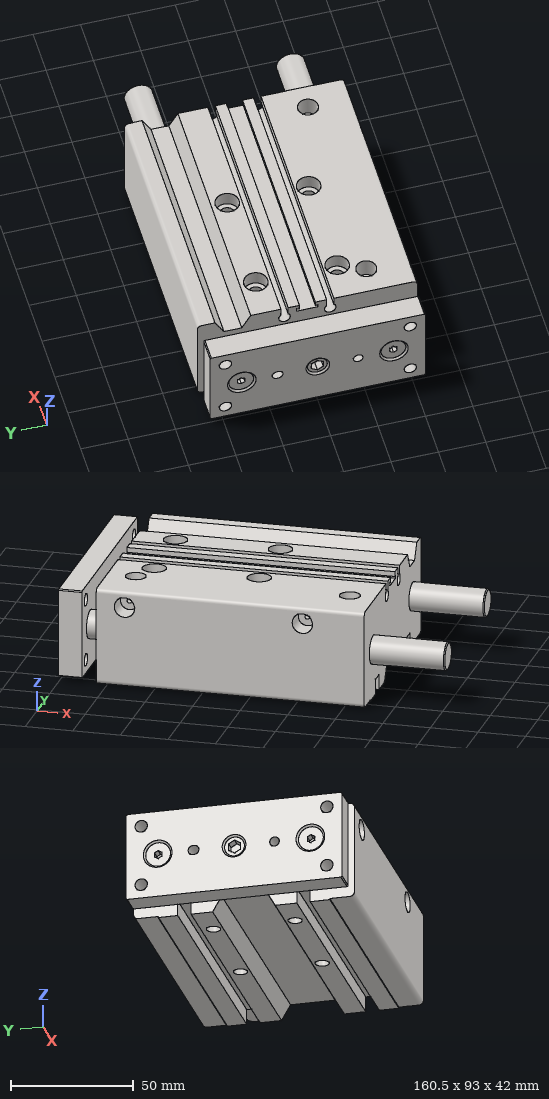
import cadquery as cq
import math


TOTAL_LENGTH = 160.5

HOUSING_START = 16.2
HOUSING_LENGTH = 112.7
HOUSING_WIDTH = 93.0
HOUSING_HEIGHT = 42.0
HOUSING_TOP = HOUSING_HEIGHT / 2
HOUSING_BOTTOM = -HOUSING_HEIGHT / 2
CORNER_RADIUS = 2.0

FLANK_ANGLE = 60
CHANNEL_DEPTH = 6.6
TOP_CHANNEL_Y = 31.5
TOP_CHANNEL_WIDTH = 15.1
BOTTOM_CHANNEL_WIDTH = 26.3
BOTTOM_SLOT_Y = 25.0
BOTTOM_SLOT_WIDTH = 5.6
RAIL_GAP = 6.7
RAIL_LIP_HEIGHT = 2.1
RAIL_RECESS_WIDTH = 9.0
RAIL_RECESS_DEPTH = 3.2
SENSOR_SLOT_Y = 9.6
SENSOR_SLOT_WIDTH = 3.0
SENSOR_BORE_DIAMETER = 4.8
SENSOR_BORE_DEPTH = 5.6
FOOT_HEIGHT = 0.5
FOOT_OUTER_Y = 36.1

MOUNT_X = (33.0, 77.2)
MOUNT_Y = 17.2
MOUNT_DIAMETER = 5.8
MOUNT_HEAD_DIAMETER = 10.0
MOUNT_HEAD_DEPTH = 6.5

PORT_MOUTH_DIAMETER = 8.5
PORT_END_DIAMETER = 7.5
PORT_DEPTH = 8.0
PORT_PILOT_DIAMETER = 2.0
PORT_PILOT_DEPTH = 11.2
FIRST_PORT_X = 28.1
LAST_TOP_PORT_X = 118.1
LAST_FRONT_PORT_X = 102.9
TOP_PORT_Y = -28.1
FRONT_PORT_Z = 14.0

PLATE_THICKNESS = 10.0
PLATE_WIDTH = 90.8
PLATE_HEIGHT = 37.9
PLATE_EDGE_CHAMFER = 0.5
PLATE_HOLE_DIAMETER = 5.1
PLATE_HOLE_Y = 39.0
PLATE_HOLE_Z = 13.0
DOWEL_DIAMETER = 4.0
DOWEL_SLOT_LENGTH = 4.5
DOWEL_Y = 17.0

ROD_DIAMETER = 12.0
GUIDE_ROD_Y = 32.1
ROD_REAR_CHAMFER = 0.5
PISTON_ROD_END = 96.3

RECESS_DEPTH = 0.8
GUIDE_RECESS_DIAMETER = 12.0
GUIDE_SOCKET_FLATS = 3.0
PISTON_RECESS_DIAMETER = 10.0
PISTON_SOCKET_FLATS = 5.0
SOCKET_DEPTH = 4.8


def cylinder(diameter, start, length, direction):
    """Cylinder of the given length from the point start along direction."""
    return cq.Workplane(cq.Solid.makeCylinder(diameter / 2, length, cq.Vector(*start), cq.Vector(*direction)))


def rod_cylinder(diameter, y, start_x, end_x):
    return cylinder(diameter, (start_x, y, 0), end_x - start_x, (1, 0, 0))


def housing_prism(outline):
    """Extrude a closed (Y, Z) outline along the whole housing."""
    return cq.Workplane("YZ", origin=(HOUSING_START, 0, 0)).polyline(outline).close().extrude(HOUSING_LENGTH)


def straight_channel(y, width, mouth_z, floor_z):
    left = y - width / 2
    right = y + width / 2
    return housing_prism([(left, mouth_z), (right, mouth_z), (right, floor_z), (left, floor_z)])


def sloped_channel(y, mouth_width, mouth_z, floor_z):
    """Channel whose sides lean inwards from the mouth to the floor."""
    inset = abs(mouth_z - floor_z) / math.tan(math.radians(FLANK_ANGLE))
    half_mouth = mouth_width / 2
    half_floor = half_mouth - inset
    return housing_prism([
        (y - half_mouth, mouth_z),
        (y + half_mouth, mouth_z),
        (y + half_floor, floor_z),
        (y - half_floor, floor_z),
    ])


def rail_recess():
    """T-shaped recess between the two rails, wider below their lips."""
    lip_bottom = HOUSING_TOP - RAIL_LIP_HEIGHT
    gap = straight_channel(0, RAIL_GAP, HOUSING_TOP, lip_bottom)
    return gap.union(straight_channel(0, RAIL_RECESS_WIDTH, lip_bottom, HOUSING_TOP - RAIL_RECESS_DEPTH))


def sensor_slot(y):
    """Keyhole slot: a narrow mouth above a round bore."""
    bore_z = HOUSING_TOP - SENSOR_BORE_DEPTH
    bore = cylinder(SENSOR_BORE_DIAMETER, (HOUSING_START, y, bore_z), HOUSING_LENGTH, (1, 0, 0))
    return bore.union(straight_channel(y, SENSOR_SLOT_WIDTH, HOUSING_TOP, bore_z))


def port(mouth, direction):
    """Tapered port with a small pilot hole at its end."""
    taper = cq.Workplane(cq.Solid.makeCone(
        PORT_MOUTH_DIAMETER / 2, PORT_END_DIAMETER / 2, PORT_DEPTH, cq.Vector(*mouth), cq.Vector(*direction)
    ))
    return taper.union(cylinder(PORT_PILOT_DIAMETER, mouth, PORT_PILOT_DEPTH, direction))


def mounting_hole(x, y):
    down = (0, 0, -1)
    through = cylinder(MOUNT_DIAMETER, (x, y, HOUSING_TOP), HOUSING_HEIGHT, down)
    return through.union(cylinder(MOUNT_HEAD_DIAMETER, (x, y, HOUSING_TOP), MOUNT_HEAD_DEPTH, down))


def make_housing():
    body_bottom = HOUSING_BOTTOM + FOOT_HEIGHT
    body = (
        cq.Workplane("XY", origin=(HOUSING_START, 0, body_bottom))
        .box(HOUSING_LENGTH, HOUSING_WIDTH, HOUSING_TOP - body_bottom, centered=(False, True, False))
        .edges("|X").fillet(CORNER_RADIUS)
    )
    body = body.union(straight_channel(0, 2 * FOOT_OUTER_Y, body_bottom, HOUSING_BOTTOM))

    channel_floor = HOUSING_BOTTOM + CHANNEL_DEPTH
    body = body.cut(sloped_channel(TOP_CHANNEL_Y, TOP_CHANNEL_WIDTH, HOUSING_TOP, HOUSING_TOP - CHANNEL_DEPTH))
    body = body.cut(sloped_channel(0, BOTTOM_CHANNEL_WIDTH, HOUSING_BOTTOM, channel_floor))
    body = body.cut(rail_recess())
    for side in (-1, 1):
        body = body.cut(straight_channel(side * BOTTOM_SLOT_Y, BOTTOM_SLOT_WIDTH, HOUSING_BOTTOM, channel_floor))
        body = body.cut(sensor_slot(side * SENSOR_SLOT_Y))
        for x in MOUNT_X:
            body = body.cut(mounting_hole(x, side * MOUNT_Y))

    for x in (FIRST_PORT_X, LAST_TOP_PORT_X):
        body = body.cut(port((x, TOP_PORT_Y, HOUSING_TOP), (0, 0, -1)))
    for x in (FIRST_PORT_X, LAST_FRONT_PORT_X):
        body = body.cut(port((x, -HOUSING_WIDTH / 2, FRONT_PORT_Z), (0, 1, 0)))

    for side in (-1, 1):
        body = body.cut(rod_cylinder(ROD_DIAMETER, side * GUIDE_ROD_Y, HOUSING_START, TOTAL_LENGTH))
    return body.cut(rod_cylinder(ROD_DIAMETER, 0, HOUSING_START, PISTON_ROD_END))


def rod_recess(y, mouth_diameter, socket_flats):
    """Shallow conical recess in the plate's face, with a hexagonal socket in its floor."""
    mouth_radius = mouth_diameter / 2
    cone = cq.Solid.makeCone(
        mouth_radius, mouth_radius - RECESS_DEPTH, RECESS_DEPTH, cq.Vector(0, y, 0), cq.Vector(1, 0, 0)
    )
    corner_diameter = socket_flats / math.cos(math.radians(30))
    socket = (
        cq.Workplane("YZ", origin=(0, y, 0))
        .transformed(rotate=(0, 0, 90))
        .polygon(6, corner_diameter)
        .extrude(SOCKET_DEPTH)
    )
    return socket.union(cq.Workplane(cone))


def guide_rod(y):
    rod = rod_cylinder(ROD_DIAMETER, y, PLATE_THICKNESS, TOTAL_LENGTH)
    return rod.faces(">X").chamfer(ROD_REAR_CHAMFER)


def make_plate():
    plate = (
        cq.Workplane("XY")
        .box(PLATE_THICKNESS, PLATE_WIDTH, PLATE_HEIGHT, centered=(False, True, True))
        .edges("|X").chamfer(PLATE_EDGE_CHAMFER)
    )
    plane = cq.Workplane("YZ")
    corner_holes = (
        plane.rect(2 * PLATE_HOLE_Y, 2 * PLATE_HOLE_Z, forConstruction=True)
        .vertices().circle(PLATE_HOLE_DIAMETER / 2).extrude(PLATE_THICKNESS)
    )
    dowel_hole = plane.center(-DOWEL_Y, 0).circle(DOWEL_DIAMETER / 2).extrude(PLATE_THICKNESS)
    dowel_slot = plane.center(DOWEL_Y, 0).slot2D(DOWEL_SLOT_LENGTH, DOWEL_DIAMETER).extrude(PLATE_THICKNESS)
    return plate.cut(corner_holes).cut(dowel_hole).cut(dowel_slot)


def make_plate_with_rods():
    """Moving body: the plate, the piston rod and the two guide rods."""
    body = make_plate().union(rod_cylinder(ROD_DIAMETER, 0, PLATE_THICKNESS, PISTON_ROD_END))
    body = body.cut(rod_recess(0, PISTON_RECESS_DIAMETER, PISTON_SOCKET_FLATS))
    for side in (-1, 1):
        y = side * GUIDE_ROD_Y
        body = body.union(guide_rod(y))
        body = body.cut(rod_recess(y, GUIDE_RECESS_DIAMETER, GUIDE_SOCKET_FLATS))
    return body


housing = make_housing()
plate_with_rods = make_plate_with_rods()

result = cq.Compound.makeCompound([housing.val(), plate_with_rods.val()])